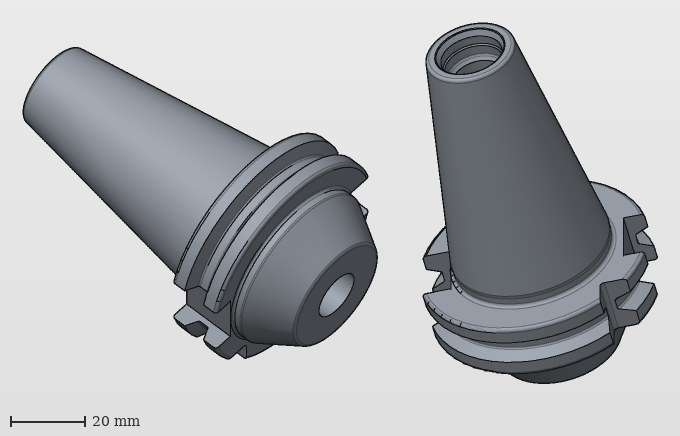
import cadquery as cq
import math


TAPER_SLOPE = 7 / 48
GAUGE_RADIUS = 44.45 / 2
SMALL_END_X = -68.25
SMALL_END_RADIUS = GAUGE_RADIUS + TAPER_SLOPE * SMALL_END_X
SMALL_END_ROUND = 1.0
TAPER_END_X = -0.6

NECK_RADIUS = 22.0
NECK_START_X = 0.5
NECK_ROUND = 1.0

FLANGE_BACK_X = 3.2
FLANGE_FRONT_X = 19.1
FLANGE_RADIUS = 63.55 / 2
FLANGE_ROUND = 1.0
GROOVE_CENTRE_X = 11.1
GROOVE_TOP_HALF_WIDTH = 3.42
GROOVE_FLOOR_RADIUS = 28.05
GROOVE_HALF_ANGLE = math.radians(26)
GROOVE_ROUND = 0.6

NOSE_RADIUS = 24.05
NOSE_CONE_START_X = 22.0
NOSE_CONE_ANGLE = math.radians(30)
NOSE_END_X = 35.0
NOSE_ROOT_ROUND = 0.8
NOSE_ROUND = 1.0

BORE_RADIUS = 7.0
MOUTH_RADIUS = 9.75
MOUTH_BEVEL_ANGLE = math.radians(60)
MOUTH_CONE_RADIUS = 9.45
MOUTH_CONE_ANGLE = math.radians(30)
PILOT_RADIUS = 8.5
PILOT_DEPTH = 4.4
THREAD_RADIUS = 8.1
THREAD_DEPTH = 7.5
RUNOUT_ROUND = 0.9
RUNOUT_SWEEP = math.radians(50)
BORE_CONE_ANGLE = math.radians(40)

SLOT_WIDTH = 16.3
DEEP_SLOT_FLOOR_Y = 22.8
SHALLOW_SLOT_FLOOR_Y = -25.0
NOTCH_Y = -18.5
NOTCH_Z = -18.5
NOTCH_ROUND = 1.2


def revolve_profile(points):
    """Turn a closed (x, radius) outline about the X axis."""
    return cq.Workplane("XY").polyline(points).close().revolve(360, (0, 0, 0), (1, 0, 0))


def round_circles(body, corners, radius):
    """Fillet the circular edges that pass through the given (x, radius) corners."""
    tolerance = 0.01

    def at_corner(edge):
        box = edge.BoundingBox()
        return any(
            abs(box.xmin - x) < tolerance
            and abs(box.xmax - x) < tolerance
            and abs(box.ymax - r) < tolerance
            for x, r in corners
        )

    edges = [edge for edge in body.edges("%CIRCLE").vals() if at_corner(edge)]
    return body.newObject(edges).fillet(radius)


def turned_body():
    groove_depth = FLANGE_RADIUS - GROOVE_FLOOR_RADIUS
    floor_half_width = GROOVE_TOP_HALF_WIDTH - groove_depth * math.tan(GROOVE_HALF_ANGLE)
    nose_end_radius = NOSE_RADIUS - (NOSE_END_X - NOSE_CONE_START_X) * math.tan(NOSE_CONE_ANGLE)

    small_end = (SMALL_END_X, SMALL_END_RADIUS)
    neck_corner = (FLANGE_BACK_X, NECK_RADIUS)
    flange_back_rim = (FLANGE_BACK_X, FLANGE_RADIUS)
    flange_front_rim = (FLANGE_FRONT_X, FLANGE_RADIUS)
    groove_back_floor = (GROOVE_CENTRE_X - floor_half_width, GROOVE_FLOOR_RADIUS)
    groove_front_floor = (GROOVE_CENTRE_X + floor_half_width, GROOVE_FLOOR_RADIUS)
    nose_root = (FLANGE_FRONT_X, NOSE_RADIUS)
    nose_shoulder = (NOSE_CONE_START_X, NOSE_RADIUS)
    nose_end = (NOSE_END_X, nose_end_radius)

    body = revolve_profile([
        (SMALL_END_X, 0),
        small_end,
        (TAPER_END_X, GAUGE_RADIUS + TAPER_SLOPE * TAPER_END_X),
        (NECK_START_X, NECK_RADIUS),
        neck_corner,
        flange_back_rim,
        (GROOVE_CENTRE_X - GROOVE_TOP_HALF_WIDTH, FLANGE_RADIUS),
        groove_back_floor,
        groove_front_floor,
        (GROOVE_CENTRE_X + GROOVE_TOP_HALF_WIDTH, FLANGE_RADIUS),
        flange_front_rim,
        nose_root,
        nose_shoulder,
        nose_end,
        (NOSE_END_X, 0),
    ])
    body = round_circles(body, [small_end], SMALL_END_ROUND)
    body = round_circles(body, [neck_corner], NECK_ROUND)
    body = round_circles(body, [flange_back_rim, flange_front_rim], FLANGE_ROUND)
    body = round_circles(body, [groove_back_floor, groove_front_floor], GROOVE_ROUND)
    body = round_circles(body, [nose_root], NOSE_ROOT_ROUND)
    return round_circles(body, [nose_shoulder, nose_end], NOSE_ROUND)


def cone_length(large_radius, small_radius, half_angle):
    return (large_radius - small_radius) / math.tan(half_angle)


def bore():
    """Through bore with a double-bevelled mouth, a pilot and a thread-size step at the small end."""
    mouth_cone_x = SMALL_END_X + cone_length(MOUTH_RADIUS, MOUTH_CONE_RADIUS, MOUTH_BEVEL_ANGLE)
    pilot_x = mouth_cone_x + cone_length(MOUTH_CONE_RADIUS, PILOT_RADIUS, MOUTH_CONE_ANGLE)
    pilot_end_x = SMALL_END_X + PILOT_DEPTH
    thread_x = pilot_end_x + PILOT_RADIUS - THREAD_RADIUS
    thread_end_x = SMALL_END_X + THREAD_DEPTH

    def runout_point(sweep):
        """Point on the concave arc that leaves the thread wall tangentially."""
        x = thread_end_x + RUNOUT_ROUND * math.sin(sweep)
        return x, THREAD_RADIUS - RUNOUT_ROUND * (1 - math.cos(sweep))

    runout_end_x, runout_end_radius = runout_point(RUNOUT_SWEEP)
    bore_x = runout_end_x + cone_length(runout_end_radius, BORE_RADIUS, BORE_CONE_ANGLE)
    return (
        cq.Workplane("XY")
        .moveTo(SMALL_END_X, 0)
        .lineTo(SMALL_END_X, MOUTH_RADIUS)
        .lineTo(mouth_cone_x, MOUTH_CONE_RADIUS)
        .lineTo(pilot_x, PILOT_RADIUS)
        .lineTo(pilot_end_x, PILOT_RADIUS)
        .lineTo(thread_x, THREAD_RADIUS)
        .lineTo(thread_end_x, THREAD_RADIUS)
        .threePointArc(runout_point(RUNOUT_SWEEP / 2), (runout_end_x, runout_end_radius))
        .lineTo(bore_x, BORE_RADIUS)
        .lineTo(NOSE_END_X, BORE_RADIUS)
        .lineTo(NOSE_END_X, 0)
        .close()
        .revolve(360, (0, 0, 0), (1, 0, 0))
    )


def flange_cutter(y_start, y_end, z_start, z_end):
    """Block spanning the flange and the nose root fillet, hollowed so the nose cylinder stays whole."""
    nose_guard = (
        cq.Workplane("YZ", origin=(FLANGE_FRONT_X, 0, 0))
        .circle(NOSE_RADIUS)
        .extrude(NOSE_ROOT_ROUND)
    )
    return (
        cq.Workplane("YZ", origin=(FLANGE_BACK_X, 0, 0))
        .moveTo(y_start, z_start)
        .lineTo(y_end, z_start)
        .lineTo(y_end, z_end)
        .lineTo(y_start, z_end)
        .close()
        .extrude(FLANGE_FRONT_X + NOSE_ROOT_ROUND - FLANGE_BACK_X)
        .cut(nose_guard)
    )


def drive_slot(floor_y):
    outside_y = math.copysign(FLANGE_RADIUS, floor_y)
    return flange_cutter(floor_y, outside_y, -SLOT_WIDTH / 2, SLOT_WIDTH / 2)


def orientation_notch():
    notch = flange_cutter(NOTCH_Y, -FLANGE_RADIUS, NOTCH_Z, -FLANGE_RADIUS)
    return notch.edges("|X and >Y and >Z").fillet(NOTCH_ROUND)


result = (
    turned_body()
    .cut(bore())
    .cut(drive_slot(DEEP_SLOT_FLOOR_Y))
    .cut(drive_slot(SHALLOW_SLOT_FLOOR_Y))
    .cut(orientation_notch())
)